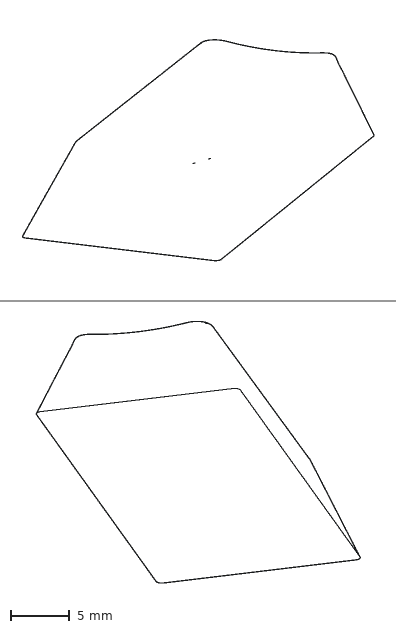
import cadquery as cq
import math

width = 18.1
length = 37.15
base_corner_radius = 0.52

rim_height = 7.35
rim_tilt = 0.45
side_inset = 3.0
front_inset = 3.7
back_inset = 0.3
rim_corner_radius = 2.08

dish_radius = 30.45
rim_fillet = 0.37

overrun = 1.1

rim_width = width - 2 * side_inset
dish_depth = dish_radius - math.sqrt(dish_radius**2 - (rim_width / 2) ** 2)


def section_location(lean):
    """Place of the section; lean is 0 at the base and 1 at the rim."""
    center = cq.Vector(0, (front_inset - back_inset) / 2 * lean, rim_height * lean)
    return cq.Location(center, cq.Vector(1, 0, 0), -rim_tilt * lean)


def rounded_section(lean):
    """Rounded rectangle of the walls, from the base (0) to the rim (1) and beyond."""
    section_width = width - 2 * side_inset * lean
    section_length = length - (front_inset + back_inset) * lean
    corner_radius = base_corner_radius + (rim_corner_radius - base_corner_radius) * lean
    outline = cq.Sketch().rect(section_width, section_length).vertices().fillet(corner_radius)
    return outline.moved(section_location(lean))


def tapered_body():
    """Solid with leaning walls and corners that widen toward the top."""
    return cq.Workplane("XY").placeSketch(rounded_section(0), rounded_section(overrun)).loft(ruled=True)


def dish_cutter():
    """Cylinder parallel to the tilted rim, meeting the two long sides at rim height."""
    profile = cq.Workplane("XZ").center(0, dish_radius - dish_depth).circle(dish_radius)
    cylinder = profile.extrude(length, both=True)
    return cylinder.val().moved(section_location(1))


dished_body = tapered_body().cut(cq.Workplane(dish_cutter()))
top_face = dished_body.faces("%CYLINDER")
result = top_face.edges().fillet(rim_fillet)